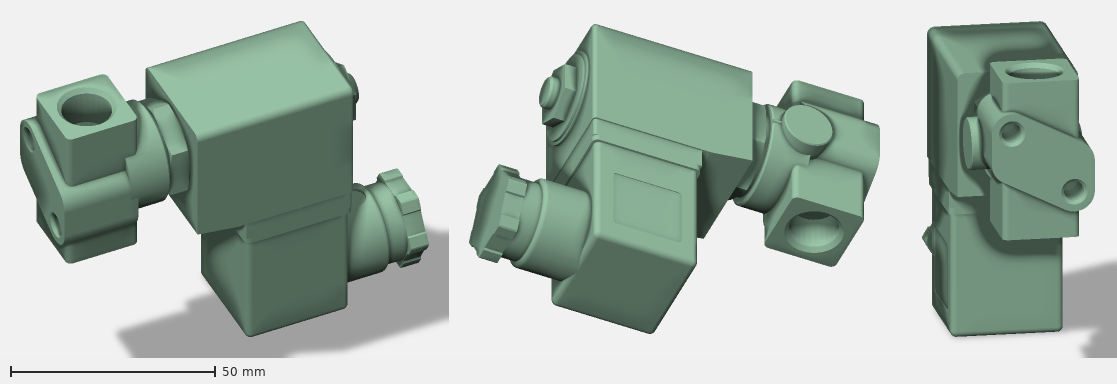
import cadquery as cq
import math


overall_length = 98.87
overall_height = 78.0
coil_front_y = 22.95
coil_back_y = 65.4

port_block_side = 19.2
port_block_height = 40.0
port_block_radius = 1.5
port_mouth_diameter = 14.6
port_diameter = 12.45
port_floor_diameter = 11.9
port_chamfer = (port_mouth_diameter - port_diameter) / 2
port_depth = 10.0

screw_offset = 7.75
lobe_radius = 5.05
lobe_front_y = -12.0
lobe_back_y = 8.0
screw_diameter = 4.92
screw_mouth_diameter = 6.5
screw_chamfer = (screw_mouth_diameter - screw_diameter) / 2
screw_depth = 10.0
drill_tip_angle = 118.0

body_radius = 13.0
body_front_y = 5.95
body_back_y = 16.65
body_chamfer = 0.4
rib_diameter = 0.9
rib_x = -13.0
button_diameter = 13.0
button_face_x = -15.25
button_y = lobe_back_y
button_chamfer = 0.3
neck_diameter = 22.0
hex_flats = 22.0
hex_front_y = 17.6
hex_back_y = 22.55
hex_chamfer = 1.0
hex_chamfer_depth = 0.35

coil_width = 30.0
coil_top_z = 13.55
coil_bottom_z = -19.4
coil_slope_front_z = -17.9
coil_slope_back_y = 34.0
coil_side_radius = 1.9
coil_back_radius = 1.0
pedestal_width = 29.2
pedestal_front_y = 36.3
pedestal_back_y = 65.1
pedestal_bottom_z = -24.6
pedestal_radius = 0.9
large_washer_diameter = 24.2
large_washer_back_y = 66.05
small_washer_diameter = 22.2
small_washer_back_y = 66.65
cap_nut_flats = 14.0
cap_nut_back_y = 69.6
stub_diameter = 8.0
stub_tip_diameter = 7.0
stub_chamfer_y = 71.4
stub_back_y = 72.0

gasket_bottom_z = -26.3
gasket_radius = 1.5
plug_inset = 0.6
plug_bottom_z = port_block_height / 2 - overall_height
plug_radius = 1.5
label_y = (41.6, 59.7)
label_z = (-52.4, -35.4)
label_radius = 0.9
label_depth = 0.2
barrel_radius = 11.4
barrel_z = plug_bottom_z + barrel_radius
barrel_back_y = 77.0
barrel_fillet = 1.2
barrel_dip_diameter = 6.8
barrel_dip_y = 71.8
barrel_dip_depth = 0.8
cable_neck_diameter = 20.0
cable_nut_front_y = 82.0
cable_nut_back_y = lobe_front_y + overall_length
cable_nut_flats = 21.2
cable_nut_corner_diameter = 24.2
grip_floor_width = 5.4
grip_mouth_width = 6.1
grip_depth = 0.5


def box(x_range, y_range, z_range):
    """Block between two limits on each axis."""
    size = [limits[1] - limits[0] for limits in (x_range, y_range, z_range)]
    corner = (x_range[0], y_range[0], z_range[0])
    return cq.Workplane("XY").box(*size, centered=False).translate(corner)


def cylinder_y(diameter, y_start, y_end, x=0.0, z=0.0):
    """Cylinder along +Y."""
    axis_end = cq.Workplane("XZ", origin=(x, y_start, z))
    return axis_end.circle(diameter / 2).extrude(y_start - y_end)


def hexagon_y(flats, y_start, y_end, turn=90.0):
    """Hexagonal bar along +Y; a turn of 90 degrees puts a corner on top, 0 puts corners at the sides."""
    corner_diameter = flats / math.cos(math.pi / 6)
    bar = cq.Workplane("XZ").polygon(6, corner_diameter).extrude(y_start - y_end)
    return bar.rotate((0, 0, 0), (0, 1, 0), turn).translate((0, y_start, 0))


def make_port_block():
    block = cq.Workplane("XY").box(port_block_side, port_block_side, port_block_height)
    return block.edges("|Z").fillet(port_block_radius)


def cut_ports(valve):
    """Blind, slightly tapered ports with chamfered mouths in the upper and lower ends of the port block."""
    half_height = port_block_height / 2
    upper_port = (
        cq.Workplane("XZ")
        .moveTo(0, half_height - port_depth)
        .lineTo(port_floor_diameter / 2, half_height - port_depth)
        .lineTo(port_diameter / 2, half_height - port_chamfer)
        .lineTo(port_mouth_diameter / 2, half_height)
        .lineTo(0, half_height)
        .close()
        .revolve(360, (0, 0, 0), (0, 1, 0))
    )
    return valve.cut(upper_port).cut(upper_port.mirror("XY"))


def make_lobes():
    """Bar along Y with a rounded parallelogram outline: upright sides, sloping top and bottom."""
    side_x = screw_offset + lobe_radius
    lean = math.atan2(screw_offset, 2 * screw_offset)
    edge_rise = lobe_radius / math.cos(lean)
    side_drop = lobe_radius * math.tan(lean)
    left_top = (-side_x, screw_offset + edge_rise + side_drop)
    right_top = (side_x, edge_rise - side_drop)
    left_bottom = (-right_top[0], -right_top[1])
    right_bottom = (-left_top[0], -left_top[1])
    bar = (
        cq.Workplane("XZ", origin=(0, lobe_front_y, 0))
        .polyline([left_top, right_top, right_bottom, left_bottom])
        .close()
        .extrude(lobe_front_y - lobe_back_y)
    )
    return bar.edges("|Y").fillet(lobe_radius)


def cut_screw_holes(valve):
    """Two blind drilled holes with chamfered mouths, entering from the front."""
    tip_length = screw_diameter / 2 / math.tan(math.radians(drill_tip_angle / 2))
    hole = (
        cq.Workplane("XY")
        .lineTo(screw_mouth_diameter / 2, 0)
        .lineTo(screw_diameter / 2, screw_chamfer)
        .lineTo(screw_diameter / 2, screw_depth)
        .lineTo(0, screw_depth + tip_length)
        .close()
        .revolve(360, (0, 0, 0), (0, 1, 0))
    )
    for side in (-1, 1):
        valve = valve.cut(hole.translate((side * screw_offset, lobe_front_y, -side * screw_offset)))
    return valve


def make_button():
    """Round button on the -X side, reaching in to the valve axis."""
    button = (
        cq.Workplane("YZ", origin=(button_face_x, button_y, 0))
        .circle(button_diameter / 2)
        .extrude(-button_face_x)
    )
    return button.faces("<X").edges().chamfer(button_chamfer)


def make_clamping_hex():
    """Hexagon with both ends turned down to a cone at its corners."""
    corner_radius = hex_flats / 2 / math.cos(math.pi / 6)
    end_radius = corner_radius - hex_chamfer
    turned_envelope = (
        cq.Workplane("XY")
        .moveTo(0, hex_front_y)
        .lineTo(end_radius, hex_front_y)
        .lineTo(corner_radius, hex_front_y + hex_chamfer_depth)
        .lineTo(corner_radius, hex_back_y - hex_chamfer_depth)
        .lineTo(end_radius, hex_back_y)
        .lineTo(0, hex_back_y)
        .close()
        .revolve(360, (0, 0, 0), (0, 1, 0))
    )
    return hexagon_y(hex_flats, hex_front_y, hex_back_y).intersect(turned_envelope)


def make_valve():
    body = cylinder_y(2 * body_radius, body_front_y, body_back_y)
    body = body.faces(">Y").edges().chamfer(body_chamfer)
    rib = cylinder_y(rib_diameter, body_front_y, body_back_y, x=rib_x)
    neck = cylinder_y(neck_diameter, body_back_y, coil_front_y)
    valve = make_port_block().union(make_lobes()).union(body).union(rib)
    valve = valve.union(make_button()).union(neck).union(make_clamping_hex())
    return cut_screw_holes(cut_ports(valve))


def make_coil():
    block = (
        cq.Workplane("YZ", origin=(-coil_width / 2, 0, 0))
        .polyline([
            (coil_front_y, coil_slope_front_z),
            (coil_slope_back_y, coil_bottom_z),
            (coil_back_y, coil_bottom_z),
            (coil_back_y, coil_top_z),
            (coil_front_y, coil_top_z),
        ])
        .close()
        .extrude(coil_width)
    )
    block = block.faces(">Z").edges("|Y").fillet(coil_side_radius)
    block = block.faces(">Y").edges("not <Z").fillet(coil_back_radius)
    pedestal = box(
        (-pedestal_width / 2, pedestal_width / 2),
        (pedestal_front_y, pedestal_back_y),
        (pedestal_bottom_z, coil_bottom_z),
    )
    pedestal = pedestal.faces(">Y").edges("|Z").fillet(pedestal_radius)
    coil = block.union(pedestal)
    return coil.union(make_rear_fastening())


def make_rear_fastening():
    """Two washers, a hexagonal nut and a chamfered stub on the back of the coil."""
    large_washer = cylinder_y(large_washer_diameter, coil_back_y, large_washer_back_y)
    small_washer = cylinder_y(small_washer_diameter, large_washer_back_y, small_washer_back_y)
    nut = hexagon_y(cap_nut_flats, small_washer_back_y, cap_nut_back_y)
    stub = (
        cq.Workplane("XY")
        .moveTo(0, cap_nut_back_y)
        .lineTo(stub_diameter / 2, cap_nut_back_y)
        .lineTo(stub_diameter / 2, stub_chamfer_y)
        .lineTo(stub_tip_diameter / 2, stub_back_y)
        .lineTo(0, stub_back_y)
        .close()
        .revolve(360, (0, 0, 0), (0, 1, 0))
    )
    return large_washer.union(small_washer).union(nut).union(stub)


def make_plug_housing():
    """Gasket rim against the coil pedestal, with the slightly smaller plug box below it."""
    half_width = pedestal_width / 2
    gasket = box(
        (-half_width, half_width),
        (pedestal_front_y, pedestal_back_y),
        (gasket_bottom_z, pedestal_bottom_z),
    )
    gasket = gasket.edges("|Z").fillet(gasket_radius)
    side_x = half_width - plug_inset
    housing = box(
        (-side_x, side_x),
        (pedestal_front_y + plug_inset, pedestal_back_y - plug_inset),
        (plug_bottom_z, gasket_bottom_z),
    )
    housing = housing.edges("|Z or <Z").fillet(plug_radius)
    label = box((-side_x, -side_x + label_depth), label_y, label_z)
    label = label.edges("|X").fillet(label_radius)
    return gasket.union(housing).cut(label)


def make_barrel():
    """Cable outlet barrel with a shallow round dip under the coil's stub."""
    barrel_start_y = (pedestal_front_y + pedestal_back_y) / 2
    barrel = cylinder_y(2 * barrel_radius, barrel_start_y, barrel_back_y, z=barrel_z)
    barrel = barrel.faces(">Y").edges().fillet(barrel_fillet)
    dip_floor_z = barrel_z + barrel_radius - barrel_dip_depth
    dip = (
        cq.Workplane("XY", origin=(0, barrel_dip_y, dip_floor_z))
        .circle(barrel_dip_diameter / 2)
        .extrude(barrel_radius)
    )
    return barrel.cut(dip)


def make_cable_nut():
    """Hexagonal cable nut with turned corners and a grip recess with sloping ends on each side."""
    nut = hexagon_y(cable_nut_flats, cable_nut_front_y, cable_nut_back_y, turn=0.0)
    nut = nut.intersect(cylinder_y(cable_nut_corner_diameter, cable_nut_front_y, cable_nut_back_y))
    mouth_z = cable_nut_flats / 2
    floor_z = mouth_z - grip_depth
    recess = (
        cq.Workplane("XZ", origin=(0, cable_nut_front_y, 0))
        .polyline([
            (-grip_floor_width / 2, floor_z),
            (grip_floor_width / 2, floor_z),
            (grip_mouth_width / 2, mouth_z),
            (-grip_mouth_width / 2, mouth_z),
        ])
        .close()
        .extrude(cable_nut_front_y - cable_nut_back_y)
    )
    for side in range(6):
        nut = nut.cut(recess.rotate((0, 0, 0), (0, 1, 0), 60 * side))
    return nut.translate((0, 0, barrel_z))


def make_plug():
    cable_neck = cylinder_y(cable_neck_diameter, barrel_back_y, cable_nut_front_y, z=barrel_z)
    return make_plug_housing().union(make_barrel()).union(cable_neck).union(make_cable_nut())


valve = make_valve()
coil = make_coil()
plug = make_plug()

result = cq.Compound.makeCompound([valve.val(), coil.val(), plug.val()])